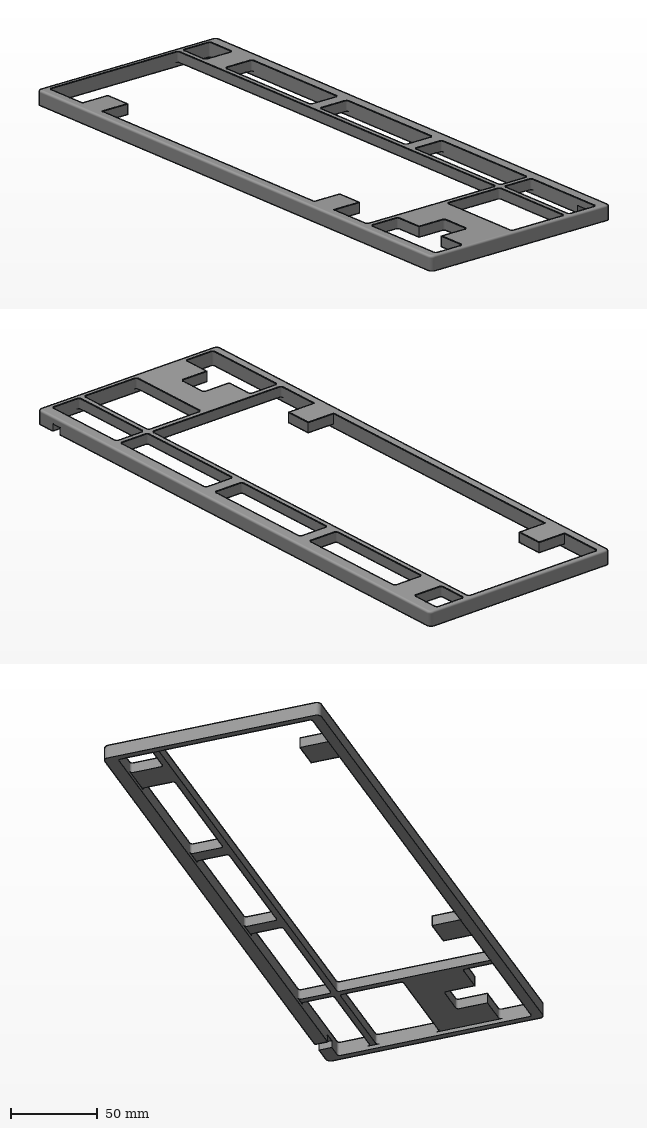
import cadquery as cq
LENGTH = 356.5
DEPTH = 134.5
HEIGHT = 9.3
CORNER_RADIUS = 3.0
RIM_RADIUS = 1.5

SIDE_MARGIN = 4.0
CLEARANCE = 0.5
GRID_SHIFT = 0.8
OPENING_RADIUS = 1.5
OPENING_CHAMFER = 0.3

RIB_CLEARANCE = 2.5

NOTCH_WIDTH = 6.5
NOTCH_HEIGHT = 4.5
NOTCH_X = 161.2

COLUMNS = 18.25
ROWS = 6.25
FUNCTION_ROW = 5.25
FUNCTION_GROUPS = ((0, 1), (2, 4), (6.5, 4), (11, 4))
MAIN_COLUMNS = 15
MAIN_ROWS = 5
CLUSTER_START = 15.25
CLUSTER_COLUMNS = 3
NAVIGATION_ROW = 3
NAVIGATION_ROWS = 2
BLOCKER_STARTS = (1.5, 12.5)

KEY_PITCH = (LENGTH - 2 * SIDE_MARGIN - 2 * CLEARANCE) / COLUMNS
GRID_LEFT = -COLUMNS * KEY_PITCH / 2
GRID_FRONT = -ROWS * KEY_PITCH / 2 - GRID_SHIFT
REAR_WALL_Y = GRID_FRONT + ROWS * KEY_PITCH + CLEARANCE
REAR_RAIL_WIDTH = DEPTH / 2 - REAR_WALL_Y


def cell_block(column, row, columns, rows, growth, height=HEIGHT):
    """Block over a range of key cells, grown sideways by the given amount."""
    center_x = GRID_LEFT + (column + columns / 2) * KEY_PITCH
    center_y = GRID_FRONT + (row + rows / 2) * KEY_PITCH
    return (
        cq.Workplane("XY")
        .center(center_x, center_y)
        .rect(columns * KEY_PITCH + 2 * growth, rows * KEY_PITCH + 2 * growth)
        .extrude(height)
    )


def key_opening(column, row, columns, rows, height=HEIGHT):
    """Cutter for a group of keys, with rounded vertical corners."""
    block = cell_block(column, row, columns, rows, CLEARANCE, height)
    return block.edges("|Z").fillet(OPENING_RADIUS)


def frame_blank():
    """Solid plate with rounded corners and a rounded top rim."""
    plate = cq.Workplane("XY").rect(LENGTH, DEPTH).extrude(HEIGHT)
    return plate.edges("|Z").fillet(CORNER_RADIUS).faces(">Z").edges().fillet(RIM_RADIUS)


def main_opening():
    """Main key field, leaving the bottom-row blockers standing."""
    opening = key_opening(0, 0, MAIN_COLUMNS, MAIN_ROWS)
    for start in BLOCKER_STARTS:
        opening = opening.cut(cell_block(start, -1, 1, 2, -CLEARANCE))
    return opening


def arrow_opening():
    """Inverted-T opening: a row of three keys with one key above the middle."""
    middle = CLUSTER_START + (CLUSTER_COLUMNS - 1) / 2
    return key_opening(CLUSTER_START, 0, CLUSTER_COLUMNS, 1).union(key_opening(middle, 0, 1, 2))


def chamfer_openings(frame):
    """Break the top edges of every opening with a small chamfer."""
    top_face = frame.faces(">Z").val()
    edges = [edge for wire in top_face.innerWires() for edge in wire.Edges()]
    return frame.newObject(edges).chamfer(OPENING_CHAMFER)


def underside_recess():
    """Shallow recess that lifts the ribs and blockers off the bottom plane."""
    return key_opening(0, 0, COLUMNS, ROWS, RIB_CLEARANCE)


def cable_notch():
    """Notch through the rear rail, open at the underside."""
    notch = cq.Workplane("XY").box(
        NOTCH_WIDTH, REAR_RAIL_WIDTH, NOTCH_HEIGHT, centered=(True, False, False)
    )
    return notch.translate((NOTCH_X, REAR_WALL_Y, 0))


result = frame_blank()
for start, width in FUNCTION_GROUPS:
    result = result.cut(key_opening(start, FUNCTION_ROW, width, 1))
result = result.cut(key_opening(CLUSTER_START, FUNCTION_ROW, CLUSTER_COLUMNS, 1))
result = result.cut(key_opening(CLUSTER_START, NAVIGATION_ROW, CLUSTER_COLUMNS, NAVIGATION_ROWS))
result = result.cut(main_opening())
result = result.cut(arrow_opening())
result = chamfer_openings(result)
result = result.cut(underside_recess())
result = result.cut(cable_notch())